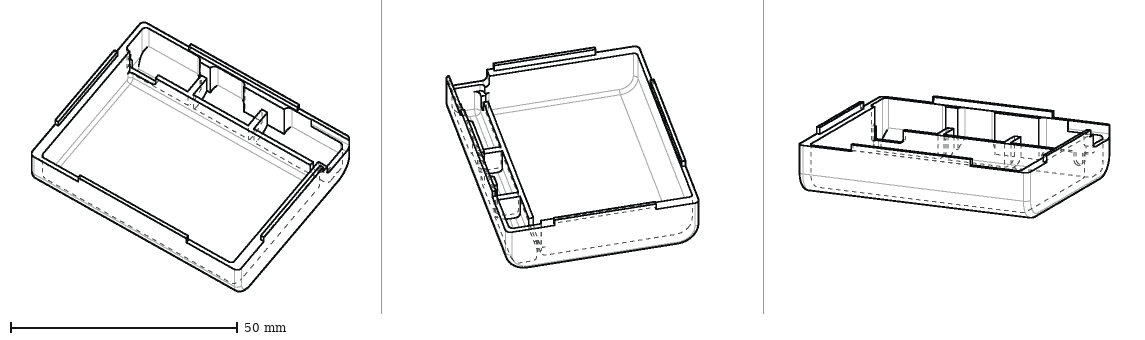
import cadquery as cq
import math

LENGTH = 56.0
WIDTH = 44.0
HEIGHT = 13.0
TAB_HEIGHT = 1.5
RIM_Z = HEIGHT - TAB_HEIGHT
OUTER_ROLL_RADIUS = 5.0
OUTER_END_RADIUS = 1.2
LONG_WALL = 1.0
FLOOR = 1.0
INNER_ROLL_RADIUS = OUTER_ROLL_RADIUS - LONG_WALL
ABOVE_TOP = HEIGHT + 2.8

TAB_THICKNESS = 0.85
TAB_LENGTH_X = 29.0
TAB_LENGTH_Y = 23.1
TAB_OFFSET = -0.5

PARTITION_Y = 13.55
PARTITION_THICKNESS = 1.05
PARTITION_TOP = 6.7
CLEARANCE_FILLET = 0.85

MAIN_END_WALL = 2.35
MAIN_FILLET = 1.05
MAIN_END_FILLET = 0.85
MAIN_LENGTH = LENGTH - 2 * MAIN_END_WALL
MAIN_Y_MIN = -WIDTH / 2 + LONG_WALL

NARROW_END_WALL = 1.25
NARROW_FLOOR = 0.8
NARROW_FILLET = 1.05
NARROW_LENGTH = LENGTH - 2 * NARROW_END_WALL
NARROW_Y_MIN = PARTITION_Y + PARTITION_THICKNESS
NARROW_Y_MAX = WIDTH / 2 - LONG_WALL

RIB_THICKNESS = 1.5
RIB_CENTERS = (-10.1, 6.15)
PAD_DEPTH = 1.05
PAD_FLARE_RADIUS = 1.3
PADS = ((-9.85, 2.9), (6.0, 10.75))

SLOT_RADIUS = 1.05
SLOT_BOTTOM = 3.8
SLOT_CENTER_X = 23.85
GAP_END_X = -18.7

OPENING_X_MIN = 17.85
OPENING_Y_MIN = 12.55
OPENING_Y_MAX = 21.15
OPENING_BOTTOM = 8.5
OPENING_FILLET = 1.05


def block(x_min, x_max, y_min, y_max, z_min, z_max):
    """Plain box given by its limits."""
    size = (x_max - x_min, y_max - y_min, z_max - z_min)
    return cq.Workplane("XY").box(*size, centered=False).translate((x_min, y_min, z_min))


def rolled_block(length, y_min, y_max, z_min, z_max, radius_low_y, radius_high_y, end_radius):
    """Box centered in X with rounded long bottom edges and filleted ends; the top stays sharp."""
    solid = block(-length / 2, length / 2, y_min, y_max, z_min, z_max)
    solid = solid.faces("<Z").edges("<Y").fillet(radius_low_y)
    solid = solid.faces("<Z").edges(">Y").fillet(radius_high_y)
    for end in ("<X", ">X"):
        solid = solid.faces(end).edges("not >Z").fillet(end_radius)
    return solid


def make_body():
    return rolled_block(
        LENGTH, -WIDTH / 2, WIDTH / 2, 0, RIM_Z,
        OUTER_ROLL_RADIUS, OUTER_ROLL_RADIUS, OUTER_END_RADIUS,
    )


def make_main_cavity():
    return rolled_block(
        MAIN_LENGTH, MAIN_Y_MIN, PARTITION_Y, FLOOR, ABOVE_TOP,
        INNER_ROLL_RADIUS, MAIN_FILLET, MAIN_END_FILLET,
    )


def make_ribs():
    ribs = cq.Workplane("XY")
    for x in RIB_CENTERS:
        x_low = x - RIB_THICKNESS / 2
        ribs = ribs.add(block(x_low, x_low + RIB_THICKNESS, NARROW_Y_MIN, NARROW_Y_MAX, 0, PARTITION_TOP))
    return ribs.combine()


def make_pad(center_x, face_width):
    """Full-height pad whose sides flare into the long wall with concave arcs."""
    sweep = math.acos(1 - PAD_DEPTH / PAD_FLARE_RADIUS)
    half_face = face_width / 2
    half_base = half_face + PAD_FLARE_RADIUS * math.sin(sweep)
    half_middle = half_base - PAD_FLARE_RADIUS * math.sin(sweep / 2)
    middle_y = NARROW_Y_MAX - PAD_FLARE_RADIUS * (1 - math.cos(sweep / 2))
    face_y = NARROW_Y_MAX - PAD_DEPTH
    return (
        cq.Workplane("XY", origin=(center_x, 0, 0))
        .moveTo(-half_base, NARROW_Y_MAX)
        .threePointArc((-half_middle, middle_y), (-half_face, face_y))
        .lineTo(half_face, face_y)
        .threePointArc((half_middle, middle_y), (half_base, NARROW_Y_MAX))
        .close()
        .extrude(RIM_Z)
    )


def make_narrow_cavity():
    """Compartment beside the +Y wall, leaving its ribs and pads standing."""
    limits = (-NARROW_LENGTH / 2, NARROW_LENGTH / 2, NARROW_Y_MIN, NARROW_Y_MAX, NARROW_FLOOR, ABOVE_TOP)
    cavity = block(*limits).edges("|Z").fillet(NARROW_FILLET)
    cavity = cavity.faces("<Z").edges().fillet(NARROW_FILLET)
    roll = block(*limits).faces("<Z").edges(">Y").fillet(INNER_ROLL_RADIUS)
    cavity = cavity.intersect(roll)
    cavity = cavity.cut(make_ribs())
    for center_x, face_width in PADS:
        cavity = cavity.cut(make_pad(center_x, face_width))
    return cavity


def make_partition_clearance(z_min):
    """Space above z_min over the partition and the main cavity corners, rounded at the end walls."""
    half_length = NARROW_LENGTH / 2
    y_max = NARROW_Y_MIN + NARROW_FILLET
    space = block(-half_length, half_length, PARTITION_Y, y_max, z_min, ABOVE_TOP)
    space = space.edges("|Z and <Y").fillet(CLEARANCE_FILLET)
    half_main = MAIN_LENGTH / 2
    corners = block(-half_main, half_main, PARTITION_Y - MAIN_FILLET, NARROW_Y_MIN, z_min, ABOVE_TOP)
    return space.union(corners)


def make_gap():
    """Opening at the -X end of the partition with a rounded inner bottom edge."""
    limit = block(-LENGTH / 2, GAP_END_X, PARTITION_Y - MAIN_FILLET, NARROW_Y_MIN, SLOT_BOTTOM, ABOVE_TOP)
    limit = limit.edges("|Y and >X and <Z").fillet(SLOT_RADIUS)
    return make_partition_clearance(SLOT_BOTTOM).intersect(limit)


def make_slot():
    """Round-bottomed slot near the +X end of the partition."""
    slot = block(
        SLOT_CENTER_X - SLOT_RADIUS, SLOT_CENTER_X + SLOT_RADIUS,
        PARTITION_Y, NARROW_Y_MIN, SLOT_BOTTOM + SLOT_RADIUS, ABOVE_TOP,
    )
    bottom = (
        cq.Workplane("XZ", origin=(SLOT_CENTER_X, PARTITION_Y, SLOT_BOTTOM + SLOT_RADIUS))
        .circle(SLOT_RADIUS)
        .extrude(-PARTITION_THICKNESS)
    )
    return slot.union(bottom)


def make_connector_opening():
    """Opening through the +X wall that also thins the end of the +Y wall."""
    opening = block(OPENING_X_MIN, LENGTH / 2, OPENING_Y_MIN, OPENING_Y_MAX, OPENING_BOTTOM, ABOVE_TOP)
    return opening.faces("<Z").edges("|X").fillet(OPENING_FILLET)


def make_tabs():
    """One thin tab along the outer edge of every wall."""
    x_low = TAB_OFFSET - TAB_LENGTH_X / 2
    y_low = TAB_OFFSET - TAB_LENGTH_Y / 2
    tabs = cq.Workplane("XY")
    for y in (-WIDTH / 2, WIDTH / 2 - TAB_THICKNESS):
        tabs = tabs.add(block(x_low, x_low + TAB_LENGTH_X, y, y + TAB_THICKNESS, RIM_Z, HEIGHT))
    for x in (-LENGTH / 2, LENGTH / 2 - TAB_THICKNESS):
        tabs = tabs.add(block(x, x + TAB_THICKNESS, y_low, y_low + TAB_LENGTH_Y, RIM_Z, HEIGHT))
    return tabs.combine()


result = (
    make_body()
    .cut(make_main_cavity())
    .cut(make_narrow_cavity())
    .cut(make_partition_clearance(PARTITION_TOP))
    .cut(make_gap())
    .cut(make_slot())
    .cut(make_connector_opening())
    .union(make_tabs())
)